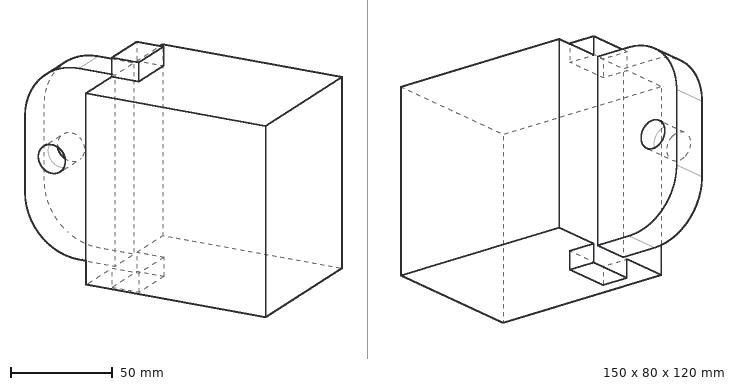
import cadquery as cq

total_length = 150.0
total_height = 120.0
block_width = 80.0
tab_length = 15.0
tab_width = 26.0
tongue_length = total_length / 3
tongue_thickness = 20.0
corner_radius = 30.0
hole_diameter = 15.0
hole_to_end = 15.0

block_length = total_length - tongue_length
block_height = block_length


def front_centred_box(length, width, height):
    """Box starting at X = 0 and centred on Y and Z."""
    return cq.Workplane("XY").box(length, width, height, centered=(False, True, True))


def make_tongue():
    """Flat tongue with rounded outer corners and a cross hole."""
    tongue = (
        front_centred_box(tongue_length, tongue_thickness, block_height)
        .translate((-tongue_length, 0, 0))
        .edges("|Y and <X")
        .fillet(corner_radius)
    )
    hole = (
        cq.Workplane("XZ")
        .center(hole_to_end - tongue_length, 0)
        .circle(hole_diameter / 2)
        .extrude(tongue_thickness, both=True)
    )
    return tongue.cut(hole)


block = front_centred_box(block_length, block_width, block_height)
tabs = front_centred_box(tab_length, tab_width, total_height)

result = block.union(tabs).union(make_tongue())